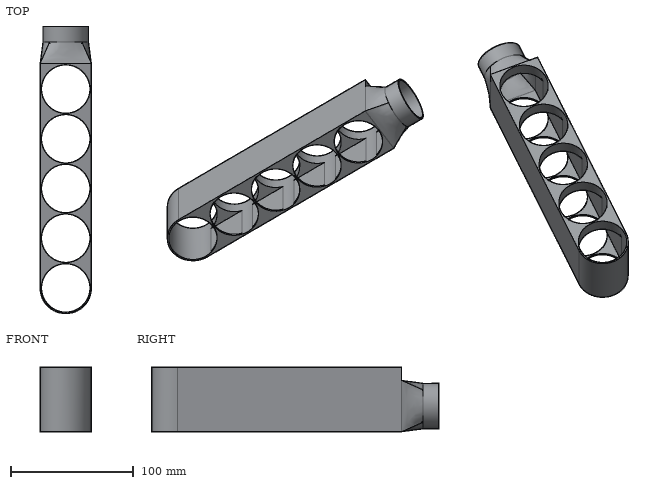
import cadquery as cq
import math

total_length = 234.3
body_width = 42.0
body_height = 52.7

hole_count = 5
hole_diameter = 39.4
hole_gap = 1.2
hole_pitch = hole_diameter + hole_gap

duct_wall = 2.0
duct_width = body_width - 2 * duct_wall

tube_outer_diameter = 37.3
tube_bore = 35.0
tube_length = 13.0
neck_length = 17.5

front_y = -total_length / 2
back_y = total_length / 2
front_hole_y = front_y + body_width / 2
tube_start_y = back_y - tube_length
neck_start_y = tube_start_y - neck_length

duct_axis_z = body_width / 2


def section_plane(y):
    """Plane across the duct axis, facing +Y."""
    return cq.Plane(origin=(0, y, duct_axis_z), xDir=(1, 0, 0), normal=(0, 1, 0))


def quartered_circle(workplane, diameter):
    """Circle in four arcs that meet on the diagonals, matching the corners of a square."""
    radius = diameter / 2
    diagonal = radius * math.sqrt(0.5)
    return (
        workplane.moveTo(-diagonal, -diagonal)
        .threePointArc((0, -radius), (diagonal, -diagonal))
        .threePointArc((radius, 0), (diagonal, diagonal))
        .threePointArc((0, radius), (-diagonal, diagonal))
        .threePointArc((-radius, 0), (-diagonal, -diagonal))
        .close()
    )


def square_outline(workplane, side):
    half = side / 2
    return workplane.polyline([(-half, -half), (half, -half), (half, half), (-half, half)]).close()


def neck_and_tube(square_side, diameter):
    """Solid that runs from a square on the body to a round tube end."""
    neck_base = square_outline(cq.Workplane(section_plane(neck_start_y)), square_side)
    neck = quartered_circle(neck_base.workplane(offset=neck_length), diameter).loft(ruled=True)
    tube = cq.Workplane(section_plane(tube_start_y)).circle(diameter / 2).extrude(tube_length)
    return neck.union(tube)


def body():
    """Long block with a half-round front end."""
    half_width = body_width / 2
    return (
        cq.Workplane("XY")
        .moveTo(-half_width, neck_start_y)
        .lineTo(-half_width, front_hole_y)
        .threePointArc((0, front_y), (half_width, front_hole_y))
        .lineTo(half_width, neck_start_y)
        .close()
        .extrude(body_height)
    )


def duct():
    """Square passage that links all holes and opens into the neck."""
    passage = (
        cq.Workplane(section_plane(front_hole_y))
        .rect(duct_width, duct_width)
        .extrude(neck_start_y - front_hole_y)
    )
    return passage.union(neck_and_tube(duct_width, tube_bore))


def holes():
    """Row of round holes through the full height of the body."""
    centres = [(0, front_hole_y + i * hole_pitch) for i in range(hole_count)]
    return cq.Workplane("XY").pushPoints(centres).circle(hole_diameter / 2).extrude(body_height)


outside = body().union(neck_and_tube(body_width, tube_outer_diameter))
result = outside.cut(duct()).cut(holes())